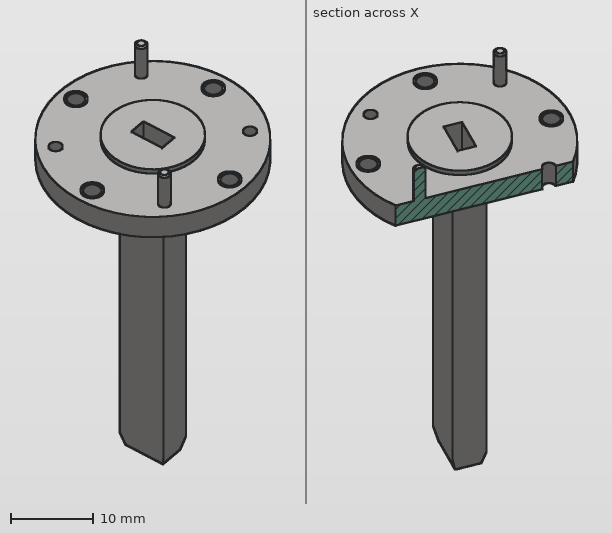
import cadquery as cq
import math

flange_diameter = 28.57
flange_thickness = 3.3
boss_diameter = 12.7
boss_height = 0.7

bore_width = 4.775
bore_height = 2.388
wall = 1.016
tube_width = bore_width + 2 * wall
tube_height = bore_height + 2 * wall

overall_height = 55.12
pin_height = 5.08
tip_z = pin_height - overall_height
taper_length = 2.1
tip_wall = wall / 2
tip_width = bore_width + 2 * tip_wall
tip_height = bore_height + 2 * tip_wall

pitch_diameter = 23.77
pitch_radius = pitch_diameter / 2
screw_hole_diameter = 2.26
counterbore_diameter = 2.85
counterbore_depth = 0.1
screw_angles = (0, 90, 180, 270)
alignment_hole_diameter = 1.7
alignment_hole_angles = (45, 225)
pin_diameter = 1.56
pin_chamfer = 0.25
pin_angles = (135, 315)


def pitch_points(angles):
    """Points on the pitch circle at the given angles in degrees."""
    return [
        (pitch_radius * math.cos(math.radians(a)), pitch_radius * math.sin(math.radians(a)))
        for a in angles
    ]


def make_flange():
    disc = cq.Workplane("XY").circle(flange_diameter / 2).extrude(-flange_thickness)
    boss = cq.Workplane("XY").circle(boss_diameter / 2).extrude(boss_height)
    return disc.union(boss)


def make_tube():
    taper_top_z = tip_z + taper_length
    straight = (
        cq.Workplane("XY", origin=(0, 0, taper_top_z))
        .rect(tube_width, tube_height)
        .extrude(-flange_thickness - taper_top_z)
    )
    taper = (
        cq.Workplane("XY", origin=(0, 0, tip_z))
        .rect(tip_width, tip_height)
        .workplane(offset=taper_length)
        .rect(tube_width, tube_height)
        .loft(ruled=True)
    )
    return straight.union(taper)


def make_bore():
    return (
        cq.Workplane("XY", origin=(0, 0, tip_z))
        .rect(bore_width, bore_height)
        .extrude(boss_height - tip_z)
    )


def make_screw_hole_cutter():
    """Through holes, each with a shallow counterbore in the upper flange face."""
    centers = cq.Workplane("XY").pushPoints(pitch_points(screw_angles))
    holes = centers.circle(screw_hole_diameter / 2).extrude(-flange_thickness)
    counterbores = centers.circle(counterbore_diameter / 2).extrude(-counterbore_depth)
    return holes.union(counterbores)


def make_alignment_hole_cutter():
    return (
        cq.Workplane("XY")
        .pushPoints(pitch_points(alignment_hole_angles))
        .circle(alignment_hole_diameter / 2)
        .extrude(-flange_thickness)
    )


def make_pins():
    """Pins rooted in the flange down to its lower face, chamfered at the top."""
    return (
        cq.Workplane("XY", origin=(0, 0, -flange_thickness))
        .pushPoints(pitch_points(pin_angles))
        .circle(pin_diameter / 2)
        .extrude(flange_thickness + pin_height)
        .faces(">Z")
        .edges()
        .chamfer(pin_chamfer)
    )


result = (
    make_flange()
    .union(make_tube())
    .cut(make_bore())
    .cut(make_screw_hole_cutter())
    .cut(make_alignment_hole_cutter())
    .union(make_pins())
)